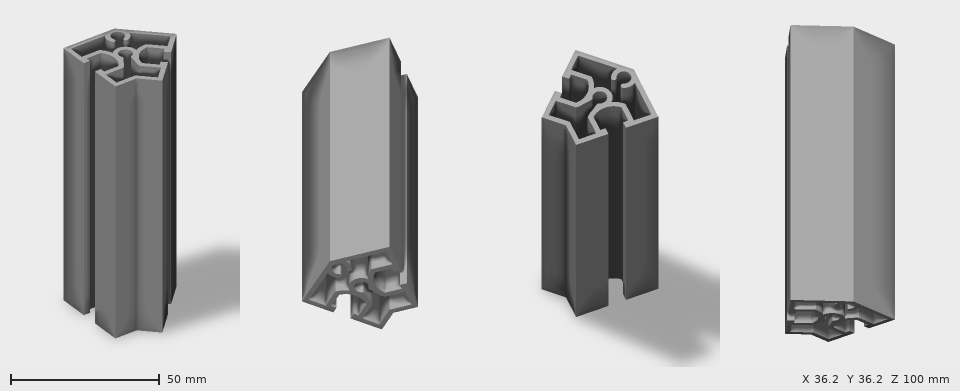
import cadquery as cq
import math

length = 100.0
half_width = 15.0
wall = 1.8
arm_angle = 135.0
symmetry_angle = arm_angle / 2 - 90

slot_half_opening = 3.2
slot_half_width = 5.1
lip_thickness = 2.5
arch_crown = -4.6
arch_radius = 7.5

bore_radius = 2.5
bore_gap_half_angle = 60.0
web_edge_angle = -54.0
screw_distance = 11.5
screw_opening_half_angle = 42.0


def prism(points):
    return cq.Workplane("XY").polyline(points).close().extrude(length)


def cylinder(radius, center=(0, 0)):
    return cq.Workplane("XY").center(*center).circle(radius).extrude(length)


def polar(radius, degrees):
    angle = math.radians(degrees)
    return (radius * math.cos(angle), radius * math.sin(angle))


def mirrored(point):
    """Reflect a point in the symmetry line of the section."""
    radius = math.hypot(*point)
    angle = math.degrees(math.atan2(point[1], point[0]))
    return polar(radius, 2 * symmetry_angle - angle)


def open_sector(half_angle):
    """Wedge centred on the mirror line, reaching well past the ring walls."""
    reach = 2 * half_width
    sides = [polar(reach, symmetry_angle + side * half_angle) for side in (-1, 1)]
    return prism([(0, 0), *sides])


def envelope(half):
    """Six-sided outline whose faces lie at the given distance from the bore."""
    tip = half * math.sqrt(2)
    corner = half * (math.sqrt(2) - 1)
    return prism([(-half, -half), (half, -half), (half, -corner), (tip, 0), (0, tip), (-half, corner)])


def arch_block(half, radius):
    """Straight-sided block with an arched top, reaching the end face of the -Y arm."""
    center_y = arch_crown - arch_radius
    shoulder = center_y + math.sqrt(radius**2 - half**2)
    return (
        cq.Workplane("XY")
        .moveTo(-half, -half_width)
        .lineTo(half, -half_width)
        .lineTo(half, shoulder)
        .threePointArc((0, center_y + radius), (-half, shoulder))
        .close()
        .extrude(length)
    )


def on_both_arms(body):
    """Return the body on the -Y arm together with its copy on the second arm."""
    return body.union(body.rotate((0, 0, 0), (0, 0, 1), arm_angle))


def slot_space():
    """T-slot void of the -Y arm: arched chamber plus the narrower mouth."""
    below_lips = cq.Workplane("XY").rect(2 * half_width, 2 * lip_thickness).extrude(length)
    chamber = arch_block(slot_half_width, arch_radius).cut(below_lips.translate((0, -half_width, 0)))
    mouth = cq.Workplane("XY").rect(2 * slot_half_opening, 4 * lip_thickness).extrude(length)
    return chamber.union(mouth.translate((0, -half_width, 0)))


def bore_wall():
    """Ring around the bore, open to the inner corner between blunt webs on the arches."""
    ring = cylinder(bore_radius + wall)
    bore_edge = polar(bore_radius, web_edge_angle)
    web_end = (2.0, -2.2)
    arch_end = (4.4, -3.9)
    web = [(0, arch_crown), (0, 0), bore_edge, web_end, arch_end]
    opening = open_sector(bore_gap_half_angle)
    webs = prism(web).union(prism([mirrored(point) for point in web]))
    return ring.cut(opening).union(webs)


result = envelope(half_width).cut(envelope(half_width - wall))
result = result.union(on_both_arms(arch_block(slot_half_width + wall, arch_radius + wall)))
result = result.union(bore_wall())

screw_center = polar(screw_distance, symmetry_angle + 180)
screw_mouth = open_sector(screw_opening_half_angle).translate((*screw_center, 0))
result = result.union(cylinder(bore_radius + wall, screw_center).cut(screw_mouth))
for side in (-1, 1):
    offset = polar(bore_radius + wall / 2, symmetry_angle + side * screw_opening_half_angle)
    end_center = (screw_center[0] + offset[0], screw_center[1] + offset[1])
    result = result.union(cylinder(wall / 2, end_center))

result = result.cut(cylinder(bore_radius)).cut(cylinder(bore_radius, screw_center))
result = result.cut(on_both_arms(slot_space()))

result = result.translate((half_width, half_width, 0))